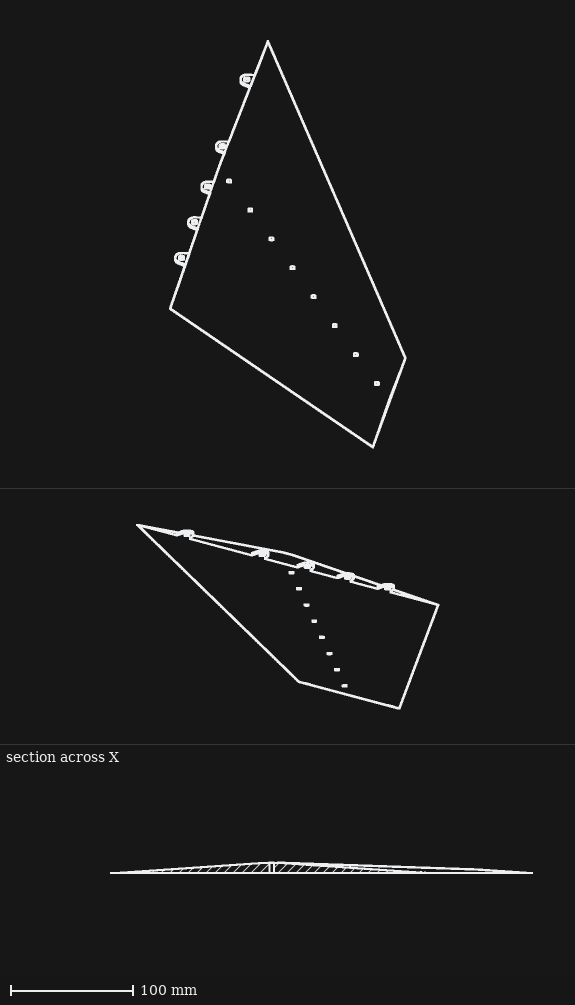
import cadquery as cq
import math

span = 200.0
root_chord = 300.0
tip_chord = 100.0
root_rear = 100.0
tip_rear = 0.0
root_height = 10.0
ridge_width = 10.0

tip_height = root_height * (tip_chord - ridge_width) / (root_chord - ridge_width)

ridge_hole_count = 8
ridge_hole_diameter = 3.0
first_ridge_hole_x = 12.0
ridge_hole_pitch = 25.0

lug_distances = [46.0, 121.0, 166.0, 206.0, 246.0]
lug_radius = 5.0
lug_reach = 5.0
lug_thickness = 2.0
lug_hole_diameter = 4.5
lug_taper = 12.0
lug_overlap = 2.0


def section(x, rear, chord, height):
    """Closed trapezoidal profile in the plane at the given X."""
    middle = rear + chord / 2
    points = [
        (x, rear, 0),
        (x, rear + chord, 0),
        (x, middle + ridge_width / 2, height),
        (x, middle - ridge_width / 2, height),
    ]
    return cq.Wire.makePolygon([cq.Vector(*p) for p in points], close=True)


def make_fin():
    root = section(0, root_rear, root_chord, root_height)
    tip = section(span, tip_rear, tip_chord, tip_height)
    return cq.Workplane(cq.Solid.makeLoft([root, tip], True))


def ridge_hole_points():
    root_middle = root_rear + root_chord / 2
    tip_middle = tip_rear + tip_chord / 2
    sweep = (tip_middle - root_middle) / span
    xs = [first_ridge_hole_x + i * ridge_hole_pitch for i in range(ridge_hole_count)]
    return [(x, root_middle + sweep * x) for x in xs]


def make_lug(y):
    """Holed round-ended lug whose tangent sides widen towards the root face."""
    taper = math.radians(lug_taper)
    tangent_x = -lug_reach - lug_radius * math.sin(taper)
    tangent_y = lug_radius * math.cos(taper)
    inner_y = tangent_y + (lug_overlap - tangent_x) * math.tan(taper)
    return (
        cq.Workplane("XY")
        .center(0, y)
        .moveTo(lug_overlap, -inner_y)
        .lineTo(tangent_x, -tangent_y)
        .threePointArc((-lug_reach - lug_radius, 0), (tangent_x, tangent_y))
        .lineTo(lug_overlap, inner_y)
        .close()
        .moveTo(-lug_reach, 0)
        .circle(lug_hole_diameter / 2)
        .extrude(lug_thickness)
    )


fin = make_fin()

ridge_holes = (
    cq.Workplane("XY")
    .pushPoints(ridge_hole_points())
    .circle(ridge_hole_diameter / 2)
    .extrude(root_height)
)
result = fin.cut(ridge_holes)

leading_point_y = root_rear + root_chord
for distance in lug_distances:
    result = result.union(make_lug(leading_point_y - distance))